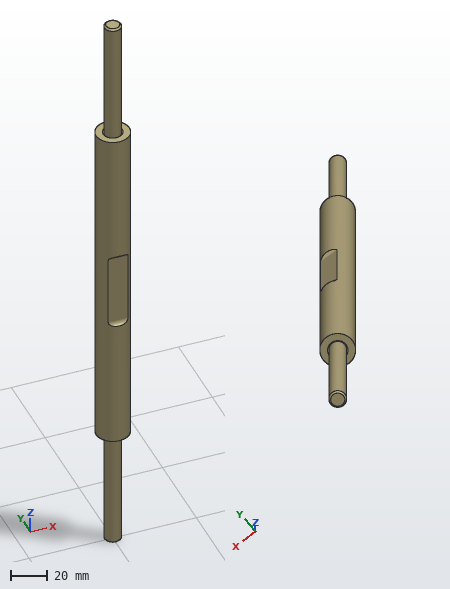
import cadquery as cq
import math

rod_length = 356.0
rod_diameter = 10.0
rod_chamfer = 1.0
body_length = 207.2
body_diameter = 20.0

countersink_diameter = 11.5
countersink_depth = (countersink_diameter - rod_diameter) / 2

flat_spacing = 16.0
flat_total_length = 48.0
flat_end_radius = 3.0


def make_rod():
    """Round rod running the full length, chamfered at both ends."""
    rod = cq.Workplane("XY").circle(rod_diameter / 2).extrude(rod_length / 2, both=True)
    return rod.faces("<Z or >Z").chamfer(rod_chamfer)


def make_body():
    """Thick cylinder around the middle of the rod, countersunk at both ends."""
    bore_radius = rod_diameter / 2
    body_radius = body_diameter / 2
    countersink_radius = countersink_diameter / 2
    half_length = body_length / 2
    countersink_floor = half_length - countersink_depth
    profile = (
        cq.Workplane("XZ")
        .moveTo(0, -countersink_floor)
        .lineTo(bore_radius, -countersink_floor)
        .lineTo(countersink_radius, -half_length)
        .lineTo(body_radius, -half_length)
        .lineTo(body_radius, half_length)
        .lineTo(countersink_radius, half_length)
        .lineTo(bore_radius, countersink_floor)
        .lineTo(0, countersink_floor)
        .close()
    )
    return profile.revolve(360, (0, 0, 0), (0, 1, 0))


def make_flat_cutter():
    """Bar that cuts the wrench flat on the +Y side, spanning the body along X."""
    flat_y = flat_spacing / 2
    surface_y = body_diameter / 2
    centre_y = flat_y + flat_end_radius
    end_run = math.sqrt(flat_end_radius**2 - (centre_y - surface_y) ** 2)
    end_z = flat_total_length / 2
    floor_z = end_z - end_run
    mid_angle = math.acos((centre_y - surface_y) / flat_end_radius) / 2
    mid_y = centre_y - flat_end_radius * math.cos(mid_angle)
    mid_z = floor_z + flat_end_radius * math.sin(mid_angle)
    outer_y = body_diameter
    profile = (
        cq.Workplane("YZ")
        .moveTo(flat_y, -floor_z)
        .lineTo(flat_y, floor_z)
        .threePointArc((mid_y, mid_z), (surface_y, end_z))
        .lineTo(outer_y, end_z)
        .lineTo(outer_y, -end_z)
        .lineTo(surface_y, -end_z)
        .threePointArc((mid_y, -mid_z), (flat_y, -floor_z))
        .close()
    )
    return profile.extrude(body_diameter, both=True)


flat_cutter = make_flat_cutter()
body = make_body().cut(flat_cutter).cut(flat_cutter.mirror("XZ"))
result = body.union(make_rod())